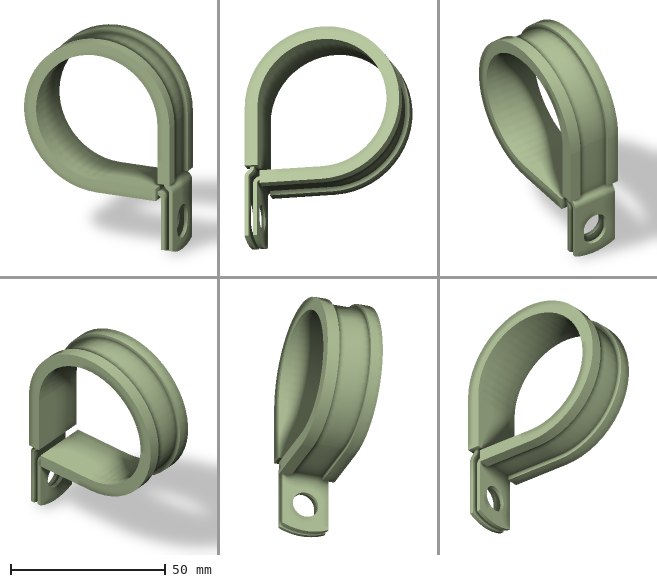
import cadquery as cq
import math


outer_radius = 25.67
cushion_thickness = 4.25
cushion_width = 18.92
inner_radius = outer_radius - cushion_thickness
lower_leg_end = 20.8
side_leg_drop = 19.55
groove_width = 10.8

strap_thickness = 1.27
strap_width = 15.75
strap_radius = outer_radius - cushion_thickness / 2
strap_outer_radius = strap_radius + strap_thickness / 2
inside_bend_radius = 1.2
bend_radius = inside_bend_radius + strap_thickness / 2
jog_angle = math.radians(45)

overall_length = 51.76
overall_height = 70.07
tip_z = outer_radius - overall_height
outer_tab_face = overall_length - outer_radius
inner_tab_x = lower_leg_end + bend_radius
outer_tab_x = outer_tab_face - strap_thickness / 2
tip_sagitta = 1.69
hole_diameter = 8.7
slot_length = 11.2
hole_z = tip_z + 9.6


def band(from_radius, to_radius, width):
    """Loop with its two straight legs, centred on Y."""
    return (
        cq.Workplane("XZ")
        .moveTo(lower_leg_end, -to_radius)
        .lineTo(0, -to_radius)
        .radiusArc((0, to_radius), to_radius)
        .radiusArc((to_radius, 0), to_radius)
        .lineTo(to_radius, -side_leg_drop)
        .lineTo(from_radius, -side_leg_drop)
        .lineTo(from_radius, 0)
        .radiusArc((0, from_radius), -from_radius)
        .radiusArc((0, -from_radius), -from_radius)
        .lineTo(lower_leg_end, -from_radius)
        .close()
        .extrude(width / 2, both=True)
    )


def make_cushion():
    groove = band(strap_outer_radius, outer_radius, groove_width)
    return band(inner_radius, outer_radius, cushion_width).cut(groove)


def strap_path():
    """Strap centreline from the inner tab tip, around the loop, to the outer tab tip."""
    arc_offset = bend_radius * (1 - math.cos(jog_angle))
    arc_drop = bend_radius * math.sin(jog_angle)
    jog_straight_offset = outer_tab_x - strap_radius - 2 * arc_offset
    jog_straight_drop = jog_straight_offset / math.tan(jog_angle)
    jog_start = (strap_radius + arc_offset, -side_leg_drop - arc_drop)
    jog_end = (outer_tab_x - arc_offset, jog_start[1] - jog_straight_drop)
    return (
        cq.Workplane("XZ")
        .moveTo(inner_tab_x, tip_z)
        .lineTo(inner_tab_x, -strap_radius - bend_radius)
        .tangentArcPoint((lower_leg_end, -strap_radius), relative=False)
        .lineTo(0, -strap_radius)
        .tangentArcPoint((0, strap_radius), relative=False)
        .tangentArcPoint((strap_radius, 0), relative=False)
        .lineTo(strap_radius, -side_leg_drop)
        .tangentArcPoint(jog_start, relative=False)
        .lineTo(*jog_end)
        .tangentArcPoint((outer_tab_x, jog_end[1] - arc_drop), relative=False)
        .lineTo(outer_tab_x, tip_z)
    )


def tab_outline():
    """Block spanning the strap, with the rounded tip shared by both tabs."""
    half_width = strap_width / 2
    return (
        cq.Workplane("YZ")
        .moveTo(-half_width, outer_radius)
        .lineTo(-half_width, tip_z + tip_sagitta)
        .threePointArc((0, tip_z), (half_width, tip_z + tip_sagitta))
        .lineTo(half_width, outer_radius)
        .close()
        .extrude(outer_tab_face, both=True)
    )


def inner_tab_hole():
    return (
        cq.Workplane("YZ", origin=(inner_tab_x, 0, hole_z))
        .circle(hole_diameter / 2)
        .extrude(strap_thickness / 2, both=True)
    )


def outer_tab_slot():
    return (
        cq.Workplane("YZ", origin=(outer_tab_x, 0, hole_z))
        .slot2D(slot_length, hole_diameter, 90)
        .extrude(strap_thickness / 2, both=True)
    )


def make_strap():
    strap = (
        cq.Workplane("XY", origin=(inner_tab_x, 0, tip_z))
        .rect(strap_thickness, strap_width)
        .sweep(strap_path())
    )
    return strap.intersect(tab_outline()).cut(inner_tab_hole()).cut(outer_tab_slot())


result = make_cushion().union(make_strap())